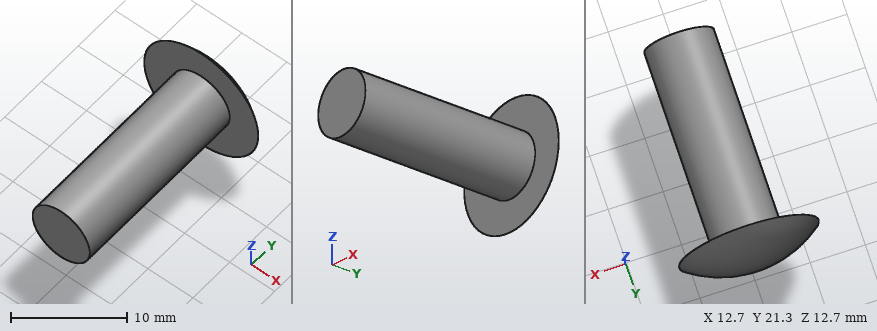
import cadquery as cq

total_length = 21.28
head_height = 2.23
head_diameter = 12.7
shank_diameter = head_diameter / 2

shank_length = total_length - head_height
head_radius = head_diameter / 2
shank_radius = shank_diameter / 2

dome_radius = (head_radius**2 + head_height**2) / (2 * head_height)
dome_center_y = head_height - dome_radius

dome_mid_x = head_radius / 2
dome_mid_y = dome_center_y + (dome_radius**2 - dome_mid_x**2) ** 0.5

half_section = (
    cq.Workplane("XY")
    .moveTo(0, -shank_length)
    .lineTo(shank_radius, -shank_length)
    .lineTo(shank_radius, 0)
    .lineTo(head_radius, 0)
    .threePointArc((dome_mid_x, dome_mid_y), (0, head_height))
    .close()
)
result = half_section.revolve(360, (0, 0, 0), (0, 1, 0))